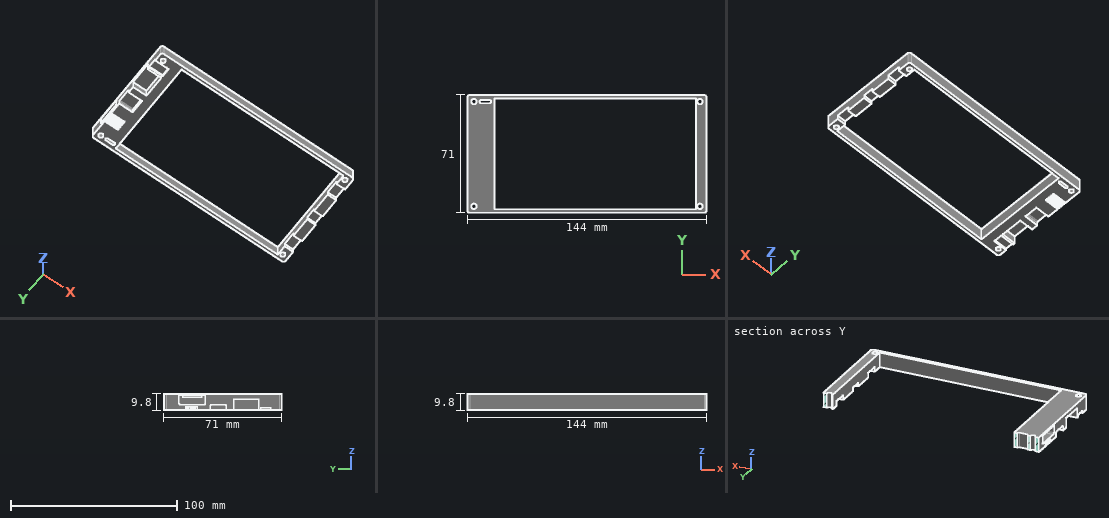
import cadquery as cq

length = 144.0
width = 71.0
height = 9.8
corner_radius = 1.5
bottom_z = 0.0
left_x = -length / 2
right_x = length / 2

left_bar = 16.5
right_bar = 6.4
side_wall = 2.25

hole_diameter = 3.1
hole_inset = 4.0

slot_length = 6.9
slot_width = 1.8
slot_center_x = left_x + 10.9
slot_center_y = width / 2 - hole_inset

port_depth = 10.0
medium_port_corner = 0.7

medium_port = (2.75, 9.5, 3.25)
large_port = (-14.0, 15.0, 6.5)
small_port = (-25.9, 6.0, 1.4)

vent_count = 4
vent_pitch = 1.92
vent_first_y = 21.85
vent_width = 1.0
vent_height = 1.9

window_center_y = 18.5
window_width = 15.9
window_floor = 3.25
window_roof = 8.8
window_corner = 0.9
relief_width = 11.5
relief_height = 1.0
relief_depth = 2.0

right_notches = (
    (21.8, 9.0, 3.2),
    (0.0, 7.2, 2.4),
    (-21.8, 9.0, 3.2),
)


def block(x_start, depth, center_y, y_width, z_start, z_height):
    """Box that runs toward +X from x_start and is centered on center_y."""
    corner = (x_start, center_y - y_width / 2, z_start)
    return cq.Workplane("XY").box(depth, y_width, z_height, centered=False).translate(corner)


def make_frame():
    """Rounded plate with the large opening cut through it."""
    plate = cq.Workplane("XY").box(length, width, height, centered=(True, True, False))
    plate = plate.edges("|Z").fillet(corner_radius)
    opening_length = length - left_bar - right_bar
    opening_width = width - 2 * side_wall
    return plate.cut(block(left_x + left_bar, opening_length, 0, opening_width, bottom_z, height))


def make_screw_holes():
    """Four through holes, one in each corner."""
    spacing_x = length - 2 * hole_inset
    spacing_y = width - 2 * hole_inset
    holes = cq.Workplane("XY").rect(spacing_x, spacing_y, forConstruction=True).vertices()
    return holes.circle(hole_diameter / 2).extrude(height)


def make_slot():
    """Round-ended slot through the left bar."""
    slot = cq.Workplane("XY").center(slot_center_x, slot_center_y)
    return slot.slot2D(slot_length, slot_width).extrude(height)


def make_window():
    """Window with rounded lower corners and the relief behind its roof."""
    window_height = window_roof - window_floor
    window = block(left_x, port_depth, window_center_y, window_width, window_floor, window_height)
    window = window.edges("|X and <Z").fillet(window_corner)
    relief_floor = window_roof - relief_height
    relief_reach = port_depth + relief_depth
    relief = block(left_x, relief_reach, window_center_y, relief_width, relief_floor, relief_height)
    return window.union(relief)


def make_bottom_port(center_y, port_width, port_height):
    """Blind port in the left end, open to the bottom."""
    return block(left_x, port_depth, center_y, port_width, bottom_z, port_height)


result = make_frame().cut(make_screw_holes()).cut(make_slot()).cut(make_window())

result = result.cut(make_bottom_port(*medium_port).edges("|X and >Z").fillet(medium_port_corner))
for port in (large_port, small_port):
    result = result.cut(make_bottom_port(*port))
for index in range(vent_count):
    vent_y = vent_first_y - index * vent_pitch
    result = result.cut(make_bottom_port(vent_y, vent_width, vent_height))

for notch_y, notch_width, notch_height in right_notches:
    notch = block(right_x - right_bar, right_bar, notch_y, notch_width, bottom_z, notch_height)
    result = result.cut(notch)